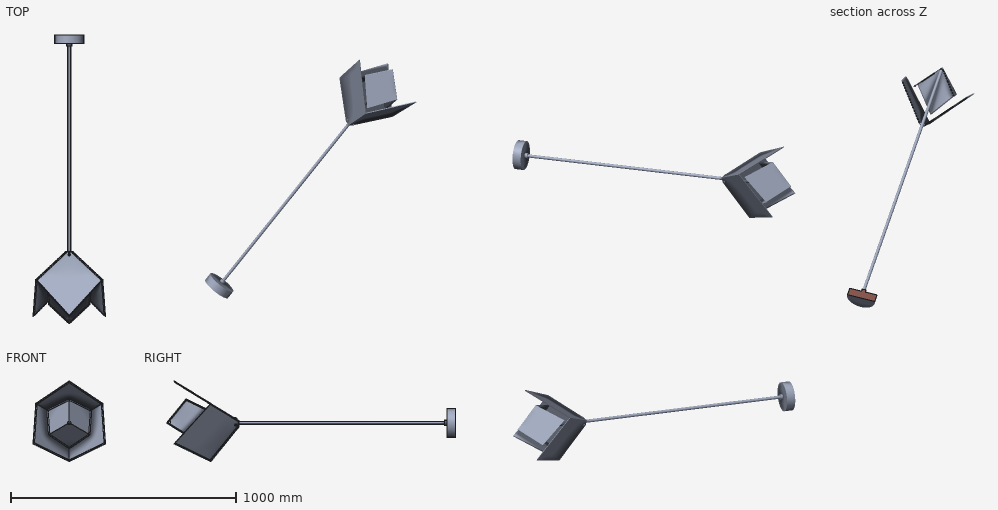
import cadquery as cq
import math


TOTAL_LENGTH = 1282.0
CANOPY_DIAMETER = 130.0
CANOPY_DEPTH = 38.0
COLLAR_DIAMETER = 24.0
COLLAR_LENGTH = 12.0
ROD_DIAMETER = 14.0

SHADE_DISTANCE = 947.0
SHADE_SIDE_RADIUS = 172.0
SHADE_SIDE_DEPTH = 140.0
SHADE_TIP_RADIUS = 186.0
PLATE_THICKNESS = 4.2
APEX_CUT = 15.0

SCREW_DIAMETER = 9.0
SCREW_HEIGHT = 4.0
SCREW_DEPTH = 30.0

DIFFUSER_SCALE = 0.62
SEAM_RADIUS = 3.2

PLATE_COUNT = 3
PLATE_STEP = 360 / PLATE_COUNT
HALF_STEP = PLATE_STEP / 2

PLATE_ANGLE = math.atan(SHADE_SIDE_RADIUS * math.cos(math.radians(HALF_STEP)) / SHADE_SIDE_DEPTH)
PLATE_SLOPE = math.tan(PLATE_ANGLE)
DIFFUSER_DISTANCE = TOTAL_LENGTH + SEAM_RADIUS * (1 / math.sin(PLATE_ANGLE) - 1)
AXIAL_THICKNESS = PLATE_THICKNESS / math.sin(PLATE_ANGLE)

MITRE_ANGLE = math.acos(
    math.sin(PLATE_ANGLE) ** 2 + math.cos(PLATE_ANGLE) ** 2 * math.cos(math.radians(PLATE_STEP))
) / 2


def cylinder(diameter, start, length):
    """Cylinder on the Y axis from Y = -start toward -Y."""
    return cq.Workplane("XZ", origin=(0, -start, 0)).circle(diameter / 2).extrude(length)


def top_plate_plane(depth=0):
    """Outer face of the top plate: local x across it, local y from the apex to the tip."""
    origin = (0, -depth, depth * PLATE_SLOPE)
    normal = (0, math.sin(PLATE_ANGLE), math.cos(PLATE_ANGLE))
    return cq.Plane(origin=origin, xDir=(-1, 0, 0), normal=normal)


def polygon_face(corners):
    """Flat face with the given corners."""
    return cq.Face.makeFromWires(cq.Wire.makePolygon(corners, close=True))


def around_axis(body):
    """The top plate's body repeated for all plates and joined."""
    joined = body
    for index in range(1, PLATE_COUNT):
        joined = joined.union(body.rotate((0, 0, 0), (0, 1, 0), index * PLATE_STEP))
    return joined


def kite_shell(scale):
    """Three kite plates, mitred on all sides, with the apex at the origin, open toward -Y."""
    side_x = scale * SHADE_SIDE_RADIUS * math.sin(math.radians(HALF_STEP))
    side_y = scale * SHADE_SIDE_DEPTH / math.cos(PLATE_ANGLE)
    tip_y = scale * SHADE_TIP_RADIUS / math.sin(PLATE_ANGLE)
    outer_kite = [(0, 0), (side_x, side_y), (0, tip_y), (-side_x, side_y)]

    apex_side = math.hypot(side_x, side_y)
    inscribed_radius = side_x * tip_y / (apex_side + math.hypot(side_x, tip_y - side_y))
    centre_y = inscribed_radius * apex_side / side_x
    shrink = 1 - PLATE_THICKNESS * math.tan(MITRE_ANGLE) / inscribed_radius
    inner_kite = [(shrink * x, centre_y + shrink * (y - centre_y)) for x, y in outer_kite]

    plane = top_plate_plane()
    outer = [plane.toWorldCoords((x, y, 0)) for x, y in outer_kite]
    inner = [plane.toWorldCoords((x, y, -PLATE_THICKNESS)) for x, y in inner_kite]
    plate_faces = [
        polygon_face(outer),
        polygon_face(inner),
        polygon_face([outer[1], outer[2], inner[2], inner[1]]),
        polygon_face([outer[2], outer[3], inner[3], inner[2]]),
    ]
    faces = []
    for index in range(PLATE_COUNT):
        turn = index * PLATE_STEP
        faces += [face.rotate(cq.Vector(0, 0, 0), cq.Vector(0, 1, 0), turn) for face in plate_faces]
    return cq.Workplane(cq.Solid.makeSolid(cq.Shell.makeShell(faces)))


def make_mount():
    """Canopy, collar and the rod that ends where it meets the inside of the diffuser."""
    rod_end = DIFFUSER_DISTANCE - AXIAL_THICKNESS - ROD_DIAMETER / 2 / PLATE_SLOPE
    canopy = cylinder(CANOPY_DIAMETER, 0, CANOPY_DEPTH)
    collar = cylinder(COLLAR_DIAMETER, CANOPY_DEPTH, COLLAR_LENGTH)
    rod = cylinder(ROD_DIAMETER, CANOPY_DEPTH, rod_end - CANOPY_DEPTH)
    return canopy.union(collar).union(rod)


def make_shade():
    """Outer shade with its cut apex, screw heads and the hole for the rod."""
    cut_width = 2 * SHADE_SIDE_RADIUS
    apex_waste = cq.Workplane("XZ").rect(cut_width, cut_width).extrude(APEX_CUT)
    screw = cq.Workplane(top_plate_plane(SCREW_DEPTH)).circle(SCREW_DIAMETER / 2).extrude(SCREW_HEIGHT)
    shade = kite_shell(1).cut(apex_waste).union(around_axis(screw))
    shade = shade.translate((0, -SHADE_DISTANCE, 0))
    return shade.cut(cylinder(ROD_DIAMETER, 0, TOTAL_LENGTH))


def make_diffuser():
    """Diffuser with rounded seams, turned to point its apex away from the canopy."""
    shell = kite_shell(DIFFUSER_SCALE)
    seams = []
    for edge in shell.edges().vals():
        apex_gap = min(vertex.Center().Length for vertex in edge.Vertices())
        if apex_gap < PLATE_THICKNESS:
            seams.append(edge)
    shell = shell.newObject(seams).fillet(SEAM_RADIUS)
    return shell.rotate((0, 0, 0), (1, 0, 0), 180).translate((0, -DIFFUSER_DISTANCE, 0))


mount = make_mount().solids()
shade = make_shade().solids()
diffuser = make_diffuser().solids()

result = cq.Compound.makeCompound([mount.val(), shade.val(), diffuser.val()])